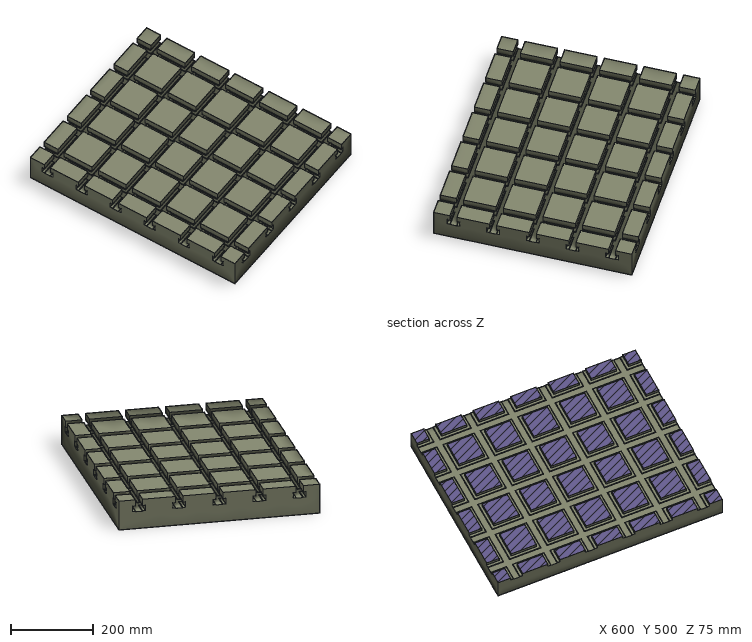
import cadquery as cq

plate_length = 600.0
slots_across_length = 6
slots_across_width = 5
pitch = plate_length / slots_across_length
plate_width = pitch * slots_across_width
plate_height = 75.0

neck_width = 18.0
neck_depth = 16.0
head_width = 32.0
head_depth = 30.0

groove_depth = 1.0


def slot_positions(count):
    """Centre offsets of evenly spaced slots, symmetric about the plate centre."""
    return [(index - (count - 1) / 2) * pitch for index in range(count)]


def t_slot(workplane, offset, length):
    """Full-length T-slot with a shallow groove along the middle of its floor."""
    half_neck = neck_width / 2
    half_head = head_width / 2
    half_groove_floor = half_neck - groove_depth
    ledge_z = plate_height - neck_depth
    head_floor_z = plate_height - head_depth
    groove_floor_z = head_floor_z - groove_depth
    right_side = [
        (half_groove_floor, groove_floor_z),
        (half_neck, head_floor_z),
        (half_head, head_floor_z),
        (half_head, ledge_z),
        (half_neck, ledge_z),
        (half_neck, plate_height),
    ]
    left_side = [(-across, z) for across, z in reversed(right_side)]
    outline = [(offset + across, z) for across, z in right_side + left_side]
    return cq.Workplane(workplane).polyline(outline).close().extrude(length / 2, both=True)


result = cq.Workplane("XY").box(
    plate_length, plate_width, plate_height, centered=(True, True, False)
)

for x in slot_positions(slots_across_length):
    result = result.cut(t_slot("XZ", x, plate_width))

for y in slot_positions(slots_across_width):
    result = result.cut(t_slot("YZ", y, plate_length))